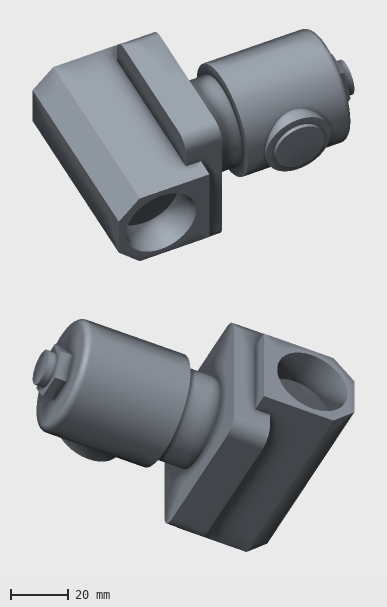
import cadquery as cq
import math


block_length = 70.0
block_depth = 35.2
block_height = 32.0
nose_chamfer = 8.1
port_diameter = 27.2
port_center_y = 16.4
port_depth = 14.0

flange_side = 56.0
flange_start = 29.4
flange_thickness = 14.0
flange_corner_radius = 6.1
flange_end = flange_start + flange_thickness
neck_diameter = 34.0
neck_end = 56.6

coil_gap = 0.3
coil_diameter = 42.0
coil_start = neck_end + coil_gap
coil_end = 97.3
coil_fillet = 2.3

nut_across_flats = 17.2
nut_across_corners = nut_across_flats / math.cos(math.pi / 6)
nut_end = 101.8
stem_diameter = 12.9
stem_end = 105.0

boss_diameter = 25.2
boss_end_x = 21.8
connector_diameter = 19.0
connector_end_x = 23.2
boss_center_y = 75.9


def plane_at_y(y):
    """Plane across the valve axis, with its normal toward +Y."""
    return cq.Workplane(cq.Plane(origin=(0, y, 0), xDir=(1, 0, 0), normal=(0, 1, 0)))


def axial_cylinder(diameter, start, end):
    """Cylinder on the valve axis between two Y positions."""
    return plane_at_y(start).circle(diameter / 2).extrude(end - start)


def side_cylinder(diameter, end_x):
    """Cylinder from the coil axis out to end_x along +X."""
    return cq.Workplane("YZ").center(boss_center_y, 0).circle(diameter / 2).extrude(end_x)


def make_port_block():
    block = cq.Workplane("XY").box(block_length, block_depth, block_height, centered=(True, False, True))
    return block.faces("<Y").edges("|X").chamfer(nose_chamfer)


def make_flange():
    flange = plane_at_y(flange_start).rect(flange_side, flange_side).extrude(flange_thickness)
    return flange.edges("|Y").fillet(flange_corner_radius)


def cut_ports(body):
    """Cut a blind port into each end of the block."""
    for side in (-1, 1):
        port = (
            cq.Workplane("YZ", origin=(side * block_length / 2, 0, 0))
            .center(port_center_y, 0)
            .circle(port_diameter / 2)
            .extrude(-side * port_depth)
        )
        body = body.cut(port)
    return body


def make_nut():
    return plane_at_y(coil_end).polygon(6, nut_across_corners).extrude(nut_end - coil_end)


def make_valve_body():
    """Block, flange and neck, with the stem and nut that hold the coil."""
    body = make_port_block().union(make_flange())
    body = body.union(axial_cylinder(neck_diameter, flange_end, neck_end))
    body = body.union(axial_cylinder(stem_diameter, neck_end, stem_end))
    body = body.union(make_nut())
    return cut_ports(body)


def make_coil():
    """Round coil housing with a side connector and a bore for the stem."""
    coil = axial_cylinder(coil_diameter, coil_start, coil_end).faces(">Y").edges().fillet(coil_fillet)
    coil = coil.union(side_cylinder(boss_diameter, boss_end_x))
    coil = coil.union(side_cylinder(connector_diameter, connector_end_x))
    return coil.cut(axial_cylinder(stem_diameter, coil_start, coil_end))


valve_body = make_valve_body()
coil = make_coil()

result = cq.Compound.makeCompound([valve_body.val(), coil.val()])